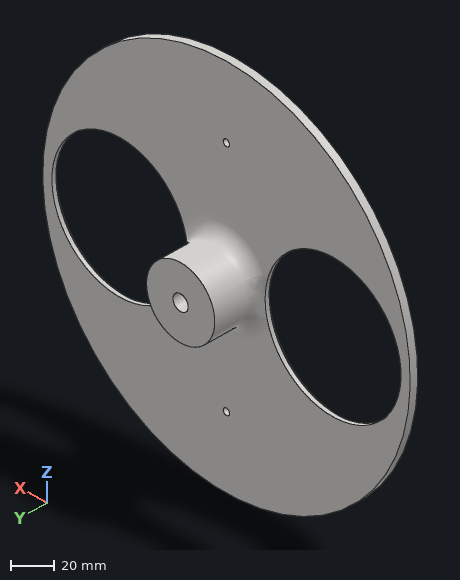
import cadquery as cq

disc_diameter = 241.3
disc_thickness = 5.0
total_depth = 35.0

hub_diameter = 45.0
hub_fillet = 10.0

window_diameter = 89.0
window_front_diameter = 93.9
window_chamfer = (window_front_diameter - window_diameter) / 2
window_offset = 70.0

bore_diameter = 10.0
pin_hole_diameter = 4.0
pin_hole_offset = 75.0


def cylinder(diameter, length, x=0.0, z=0.0):
    """Cylinder along +Y that starts at the front face, Y = 0."""
    base = cq.Vector(x, 0, z)
    return cq.Workplane(cq.Solid.makeCylinder(diameter / 2, length, base, cq.Vector(0, 1, 0)))


def window_cutter(x):
    """Straight opening with a 45 degree chamfer at the front face."""
    opening = cylinder(window_diameter, total_depth, x)
    chamfer = cq.Solid.makeCone(
        window_front_diameter / 2,
        window_diameter / 2,
        window_chamfer,
        cq.Vector(x, 0, 0),
        cq.Vector(0, 1, 0),
    )
    return opening.union(cq.Workplane(chamfer))


result = cylinder(disc_diameter, disc_thickness)
for side in (-1, 1):
    result = result.cut(window_cutter(side * window_offset))
    result = result.cut(cylinder(pin_hole_diameter, disc_thickness, z=side * pin_hole_offset))

result = result.union(cylinder(hub_diameter, total_depth))
pick_reach = 0.2
edges_at_center = cq.selectors.BoxSelector(
    (-pick_reach, disc_thickness - pick_reach, -pick_reach),
    (pick_reach, disc_thickness + pick_reach, pick_reach),
)
hub_foot = result.edges(edges_at_center).edges(cq.selectors.RadiusNthSelector(0))
result = hub_foot.fillet(hub_fillet)

result = result.cut(cylinder(bore_diameter, total_depth))